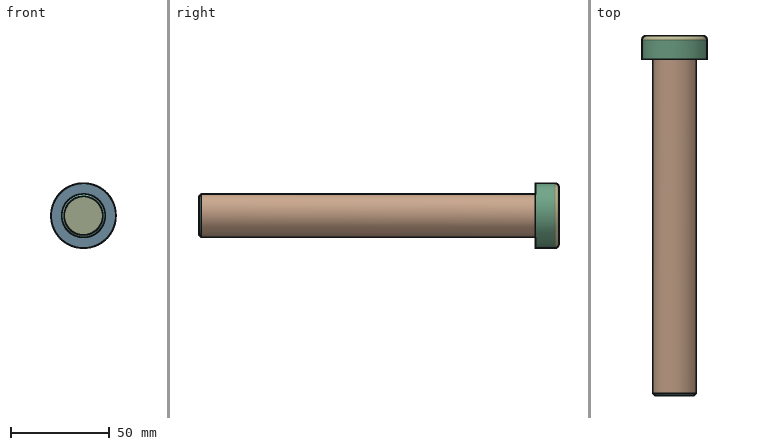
import cadquery as cq

total_length = 182.0
shank_diameter = 22.0
head_diameter = 33.0
head_thickness = 12.0
tip_chamfer = 1.3
head_edge_radius = 2.2

shank_length = total_length - head_thickness


def disc_along_y(diameter, length, start_y):
    """Solid cylinder from start_y toward +Y, centred on the Y axis."""
    plane = cq.Workplane("XZ", origin=(0, start_y, 0))
    return plane.circle(diameter / 2).extrude(-length)


shank = disc_along_y(shank_diameter, shank_length, 0)
shank = shank.faces("<Y").edges().chamfer(tip_chamfer)

head = disc_along_y(head_diameter, head_thickness, shank_length)
head = head.faces(">Y").edges().fillet(head_edge_radius)

result = shank.union(head)